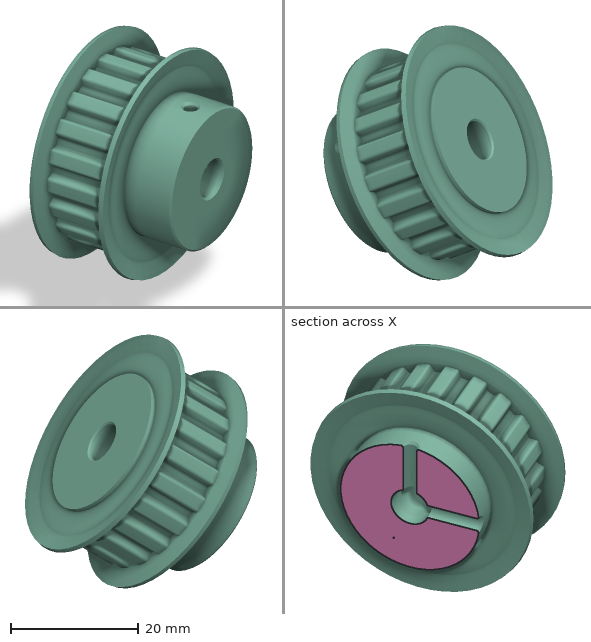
import cadquery as cq
import math


overall_length = 22.2
belt_start = 1.65
belt_width = 11.0
belt_end = belt_start + belt_width

hub_radius = 11.93
hub_chamfer = 0.3
bore_radius = 3.2
bore_chamfer = 0.25
screw_radius = 1.15
screw_sink_radius = 1.55
screw_from_end = 4.05
screw_angles = (0, -90)

flange_radius = 19.05
flange_bend_radius = 16.08
flange_thickness = 0.8
flange_lean = math.radians(12)

tooth_count = 20
tip_radius = 15.95
groove_depth = 1.4
groove_bottom_width = 1.35
groove_side_angle = math.radians(25)
groove_root_fillet = 0.42
tooth_tip_fillet = 0.5


def disc(radius, start, end):
    """Cylinder on the pulley axis between two X positions."""
    return cq.Workplane("YZ", origin=(start, 0, 0)).circle(radius).extrude(end - start)


def groove_cutter():
    """Tapered bar that cuts the belt groove on the +Z side."""
    bottom = tip_radius - groove_depth
    top = tip_radius + groove_depth
    bottom_half = groove_bottom_width / 2
    top_half = bottom_half + (top - bottom) * math.tan(groove_side_angle)
    outline = [(-bottom_half, bottom), (bottom_half, bottom), (top_half, top), (-top_half, top)]
    bar = cq.Workplane("YZ", origin=(belt_start, 0, 0)).polyline(outline).close().extrude(belt_width)
    return bar.edges("|X and <Z").fillet(groove_root_fillet)


def toothed_rim():
    """Belt cylinder with a tooth tip, not a groove, on each of the Y and Z axes."""
    rim = disc(tip_radius, belt_start, belt_end)
    cutter = groove_cutter()
    pitch_angle = 360 / tooth_count
    for index in range(tooth_count):
        angle = (index + 0.5) * pitch_angle
        rim = rim.cut(cutter.rotate((0, 0, 0), (1, 0, 0), angle))

    below_tips = tip_radius - groove_depth / 2
    tip_edges = [
        edge
        for edge in rim.edges("|X").vals()
        if math.hypot(edge.Center().y, edge.Center().z) > below_tips
    ]
    return rim.newObject(tip_edges).fillet(tooth_tip_fillet)


def flange(belt_face, outward):
    """Bent sheet ring; outward is the X direction (-1 or 1) that points away from the belt."""
    belt_side_bend = flange_bend_radius + flange_thickness * math.tan(flange_lean / 2)
    lean_depth = (flange_radius - belt_side_bend) * math.tan(flange_lean)
    rim_depth = lean_depth + flange_thickness * math.cos(flange_lean)
    rim_outer_radius = flange_radius - flange_thickness * math.sin(flange_lean)
    profile = [
        (0, 0),
        (0, belt_side_bend),
        (lean_depth, flange_radius),
        (rim_depth, rim_outer_radius),
        (flange_thickness, flange_bend_radius),
        (flange_thickness, 0),
    ]
    points = [(belt_face + outward * depth, radius) for depth, radius in profile]
    return cq.Workplane("XY").polyline(points).close().revolve(360, (0, 0, 0), (1, 0, 0))


def bore_cutter():
    """Through bore, chamfered at both ends."""
    mouth = bore_radius + bore_chamfer
    points = [
        (0, 0),
        (0, mouth),
        (bore_chamfer, bore_radius),
        (overall_length - bore_chamfer, bore_radius),
        (overall_length, mouth),
        (overall_length, 0),
    ]
    return cq.Workplane("XY").polyline(points).close().revolve(360, (0, 0, 0), (1, 0, 0))


def screw_cutter(angle):
    """Countersunk set screw hole into the bore, turned about the X axis from +Z."""
    sink_depth = screw_sink_radius - screw_radius
    points = [
        (0, 0),
        (screw_radius, 0),
        (screw_radius, hub_radius - sink_depth),
        (screw_sink_radius, hub_radius),
        (0, hub_radius),
    ]
    position = (overall_length - screw_from_end, 0, 0)
    hole = cq.Workplane("XZ", origin=position).polyline(points).close().revolve(360, (0, 0, 0), (0, 1, 0))
    return hole.rotate((0, 0, 0), (1, 0, 0), angle)


hub = disc(hub_radius, 0, overall_length).faces(">X").edges().chamfer(hub_chamfer)
body = toothed_rim().union(hub)
body = body.union(flange(belt_start, -1))
body = body.union(flange(belt_end, 1))

body = body.cut(bore_cutter())
for screw_angle in screw_angles:
    body = body.cut(screw_cutter(screw_angle))

result = body